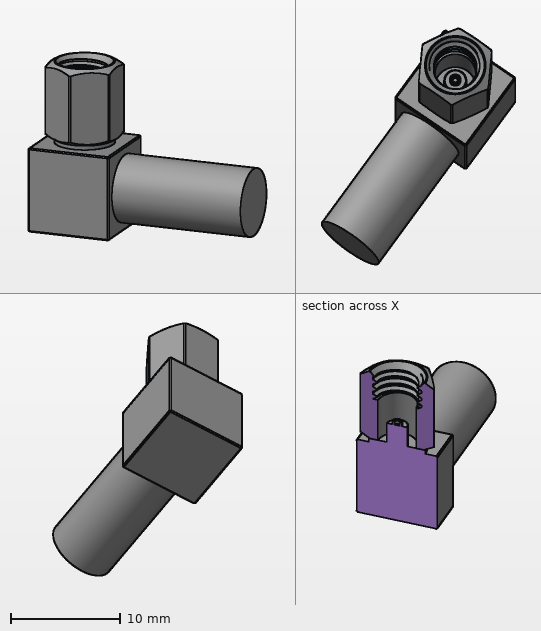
import cadquery as cq
import math

BLOCK = 8.0
BLOCK_CHAMFER = 0.12
OVERALL_LENGTH = 20.7
TUBE_DIAMETER = 6.4
TUBE_LENGTH = OVERALL_LENGTH - BLOCK
BLOCK_TOP = BLOCK / 2
COLLAR_HEIGHT = 0.4
COLLAR_TOP = BLOCK_TOP + COLLAR_HEIGHT

OVERALL_HEIGHT = 15.7
NUT_TOP = OVERALL_HEIGHT - BLOCK / 2
NUT_HEIGHT = NUT_TOP - COLLAR_TOP
ACROSS_FLATS = 6.4
CORNER_RADIUS = 3.65
FACE_RADIUS = 2.8
CORNER_CHAMFER_ANGLE = 30
COLLAR_RADIUS = FACE_RADIUS

PITCH = 0.79
MINOR_RADIUS = 1.99
MAJOR_RADIUS = 2.38
CREST_WIDTH = 0.15
HALF_FLANK_ANGLE = 30
GROOVE_OVERLAP = 0.08
GROOVE_PHASE = 45
GROOVE_DEPTH_AT_PHASE = 1.57
TURNS_BELOW = 3
GROOVE_TURNS = 6
COUNTERSINK_RADIUS = 2.67
COUNTERSINK_DEPTH = COUNTERSINK_RADIUS - MINOR_RADIUS
LEDGE_DEPTH = 2.92
LEDGE_Z = NUT_TOP - LEDGE_DEPTH
LOWER_BORE_RADIUS = 1.86

BOSS_RADIUS = 1.04
BOSS_HEIGHT = 2.07
BOSS_CHAMFER = 0.08
SOCKET_RADIUS = 0.5
SOCKET_HEIGHT = 0.41
SOCKET_CHAMFER = 0.06
SOCKET_HOLE_RADIUS = 0.25
SOCKET_COUNTERSINK = 0.1


def cylinder(radius, bottom, height):
    """Upright cylinder on the nut axis."""
    return cq.Workplane("XY").workplane(offset=bottom).circle(radius).extrude(height)


def make_contact():
    """Insulator boss carrying the tubular centre socket."""
    socket_bottom = COLLAR_TOP + BOSS_HEIGHT
    boss = cylinder(BOSS_RADIUS, COLLAR_TOP, BOSS_HEIGHT).faces(">Z").chamfer(BOSS_CHAMFER)
    socket = cylinder(SOCKET_RADIUS, socket_bottom, SOCKET_HEIGHT).faces(">Z").chamfer(SOCKET_CHAMFER)
    hole = cylinder(SOCKET_HOLE_RADIUS, socket_bottom, SOCKET_HEIGHT)
    socket = socket.cut(hole)
    mouth = socket.edges(">Z").edges(cq.selectors.RadiusNthSelector(0))
    socket = mouth.chamfer(SOCKET_COUNTERSINK)
    return boss.union(socket)


def make_housing():
    """Block with the cable tube on +X, and the collar and contact under the nut."""
    block = cq.Workplane("XY").box(BLOCK, BLOCK, BLOCK).edges().chamfer(BLOCK_CHAMFER)
    tube = cq.Workplane("YZ").workplane(offset=BLOCK / 2).circle(TUBE_DIAMETER / 2).extrude(TUBE_LENGTH)
    collar = cylinder(COLLAR_RADIUS, BLOCK_TOP, COLLAR_HEIGHT)
    return block.union(tube).union(collar).union(make_contact())


def make_hexagon():
    """Hexagonal prism with flats facing +X and -X, its corners turned and chamfered at both ends."""
    prism = (
        cq.Workplane("XY")
        .workplane(offset=COLLAR_TOP)
        .polygon(6, ACROSS_FLATS, circumscribed=True)
        .extrude(NUT_HEIGHT)
    )
    chamfer_height = (CORNER_RADIUS - FACE_RADIUS) * math.tan(math.radians(CORNER_CHAMFER_ANGLE))
    turned = (
        cq.Workplane("XZ")
        .moveTo(0, COLLAR_TOP)
        .lineTo(FACE_RADIUS, COLLAR_TOP)
        .lineTo(CORNER_RADIUS, COLLAR_TOP + chamfer_height)
        .lineTo(CORNER_RADIUS, NUT_TOP - chamfer_height)
        .lineTo(FACE_RADIUS, NUT_TOP)
        .lineTo(0, NUT_TOP)
        .close()
        .revolve(360, (0, 0, 0), (0, 1, 0))
    )
    return prism.intersect(turned)


def make_bore():
    """Through bore with a ledge below the thread and a countersunk mouth."""
    return (
        cq.Workplane("XZ")
        .moveTo(0, COLLAR_TOP)
        .lineTo(LOWER_BORE_RADIUS, COLLAR_TOP)
        .lineTo(LOWER_BORE_RADIUS, LEDGE_Z)
        .lineTo(MINOR_RADIUS, LEDGE_Z)
        .lineTo(MINOR_RADIUS, NUT_TOP - COUNTERSINK_DEPTH)
        .lineTo(COUNTERSINK_RADIUS, NUT_TOP)
        .lineTo(0, NUT_TOP)
        .close()
        .revolve(360, (0, 0, 0), (0, 1, 0))
    )


def make_thread_groove():
    """Right-hand helical groove, limited to the length above the ledge."""
    start_z = NUT_TOP - GROOVE_DEPTH_AT_PHASE - TURNS_BELOW * PITCH
    inner_radius = MINOR_RADIUS - GROOVE_OVERLAP
    flank_slope = math.tan(math.radians(HALF_FLANK_ANGLE))
    minor_half_width = (PITCH - CREST_WIDTH) / 2
    mouth_half_width = minor_half_width + GROOVE_OVERLAP * flank_slope
    root_half_width = minor_half_width - (MAJOR_RADIUS - MINOR_RADIUS) * flank_slope
    helix = cq.Wire.makeHelix(PITCH, GROOVE_TURNS * PITCH, MINOR_RADIUS).translate(cq.Vector(0, 0, start_z))
    groove = (
        cq.Workplane("XZ")
        .polyline([
            (inner_radius, start_z - mouth_half_width),
            (MAJOR_RADIUS, start_z - root_half_width),
            (MAJOR_RADIUS, start_z + root_half_width),
            (inner_radius, start_z + mouth_half_width),
        ])
        .close()
        .sweep(cq.Workplane(obj=helix), isFrenet=True)
        .rotate((0, 0, 0), (0, 0, 1), GROOVE_PHASE)
    )
    return groove.intersect(cylinder(CORNER_RADIUS, LEDGE_Z, LEDGE_DEPTH))


def make_nut():
    """Hexagonal coupling nut with its threaded bore."""
    return make_hexagon().cut(make_bore()).cut(make_thread_groove())


housing = make_housing()
nut = make_nut()
result = cq.Compound.makeCompound([housing.solids().val(), nut.solids().val()])